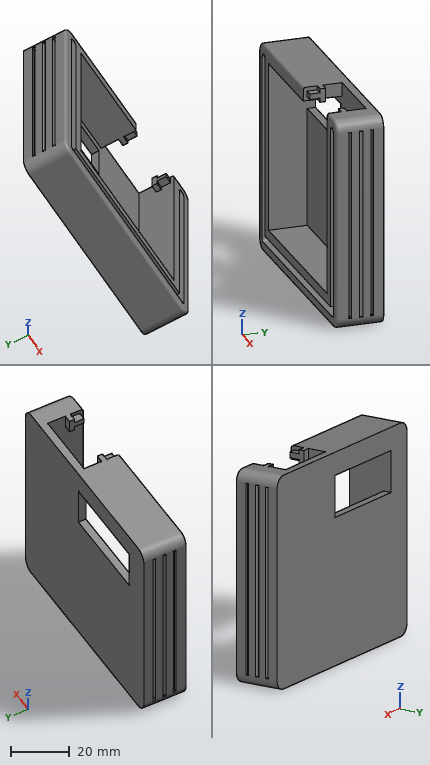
import cadquery as cq

WIDTH = 81.4
DEPTH = 17.0
HEIGHT = 76.25
CORNER_RADIUS = 4.0
RIM_FILLET = 1.0

SIDE_WALL = 10.0
TOP_WALL = 5.0
BACK_WALL = 3.0
CAVITY_WIDTH = WIDTH - 2 * SIDE_WALL
CAVITY_TOP = HEIGHT - TOP_WALL

WINDOW_WIDTH = 35.0
WINDOW_HEIGHT = 15.0
WINDOW_TOP = CAVITY_TOP - 3.3

NOTCH_WIDTH = 25.0
NOTCH_RIGHT = WIDTH - SIDE_WALL
NOTCH_LEFT = NOTCH_RIGHT - NOTCH_WIDTH

LATCH_WIDTH = 2.9
POST_FRONT = 5.05
POST_BACK = 7.1
LUG_FRONT = 1.4
LUG_HEIGHT = 2.0

SEAL_OFFSET = 3.5
SEAL_WIDTH = 3.0
SEAL_DEPTH = 5.0
SEAL_CORNER_RADIUS = 1.0

GRIP_SPACING = 4.0
GRIP_WIDTH = 1.0
GRIP_SHALLOW_DEPTH = 1.0
GRIP_DEEP_DEPTH = 2.6
MIDDLE_GRIP_WIDTH = 1.1
GRIP_CENTER = 8.9
GRIP_HEIGHT = HEIGHT - 2 * CORNER_RADIUS


def block(x_min, x_max, y_min, y_max, z_min, z_max):
    """Axis-aligned box between two opposite corners."""
    size = (x_max - x_min, y_max - y_min, z_max - z_min)
    return cq.Workplane("XY").box(*size, centered=False).translate((x_min, y_min, z_min))


def case_body():
    body = block(0, WIDTH, 0, DEPTH, 0, HEIGHT)
    body = body.edges("|Y").fillet(CORNER_RADIUS)
    return body.faces("<Y").edges().fillet(RIM_FILLET)


def seal_groove():
    """Two round-topped legs joined by a straight run along the bottom."""
    outer_right = WIDTH - SEAL_OFFSET
    inner_left = SEAL_OFFSET + SEAL_WIDTH
    inner_right = WIDTH - inner_left
    inner_bottom = SEAL_OFFSET + SEAL_WIDTH
    top = HEIGHT - SEAL_OFFSET
    leg_top = top - SEAL_WIDTH / 2
    groove = (
        cq.Workplane("XZ")
        .moveTo(SEAL_OFFSET, SEAL_OFFSET)
        .lineTo(outer_right, SEAL_OFFSET)
        .lineTo(outer_right, leg_top)
        .threePointArc((outer_right - SEAL_WIDTH / 2, top), (inner_right, leg_top))
        .lineTo(inner_right, inner_bottom)
        .lineTo(inner_left, inner_bottom)
        .lineTo(inner_left, leg_top)
        .threePointArc((inner_left - SEAL_WIDTH / 2, top), (SEAL_OFFSET, leg_top))
        .close()
        .extrude(-SEAL_DEPTH)
    )
    lower_outer_corners = cq.selectors.BoxSelector(
        (0, -0.8, 0), (WIDTH, DEPTH, SEAL_OFFSET + SEAL_WIDTH / 2)
    )
    return groove.edges("|Y").edges(lower_outer_corners).fillet(SEAL_CORNER_RADIUS)


def latch(x_min):
    x_max = x_min + LATCH_WIDTH
    lug_bottom = HEIGHT - (TOP_WALL + LUG_HEIGHT) / 2
    post = block(x_min, x_max, POST_FRONT, POST_BACK, CAVITY_TOP, HEIGHT)
    lug = block(x_min, x_max, LUG_FRONT, POST_FRONT, lug_bottom, lug_bottom + LUG_HEIGHT)
    return post.union(lug)


def left_grip_grooves():
    """Half-round middle groove between two mirrored grooves with sloping floors."""
    plane = cq.Workplane("XY").workplane(offset=CORNER_RADIUS)
    grooves = plane.center(0, GRIP_CENTER).circle(MIDDLE_GRIP_WIDTH / 2).extrude(GRIP_HEIGHT)
    for side in (-1, 1):
        inner_y = GRIP_CENTER + side * (GRIP_SPACING - GRIP_WIDTH / 2)
        outer_y = inner_y + side * GRIP_WIDTH
        outline = [
            (0, inner_y),
            (GRIP_DEEP_DEPTH, inner_y),
            (GRIP_SHALLOW_DEPTH, outer_y),
            (0, outer_y),
        ]
        grooves = grooves.union(plane.polyline(outline).close().extrude(GRIP_HEIGHT))
    return grooves


cavity = block(SIDE_WALL, WIDTH - SIDE_WALL, 0, DEPTH - BACK_WALL, SIDE_WALL, CAVITY_TOP)
window = block(
    SIDE_WALL, SIDE_WALL + WINDOW_WIDTH,
    0, DEPTH,
    WINDOW_TOP - WINDOW_HEIGHT, WINDOW_TOP,
)
notch = block(NOTCH_LEFT, NOTCH_RIGHT, 0, DEPTH - BACK_WALL, CAVITY_TOP, HEIGHT)
left_grips = left_grip_grooves()
right_grips = left_grips.mirror("YZ").translate((WIDTH, 0, 0))

result = case_body().cut(cavity).cut(window).cut(notch).cut(seal_groove())
result = result.cut(left_grips).cut(right_grips)
for latch_left in (NOTCH_LEFT, NOTCH_RIGHT - LATCH_WIDTH):
    result = result.union(latch(latch_left))